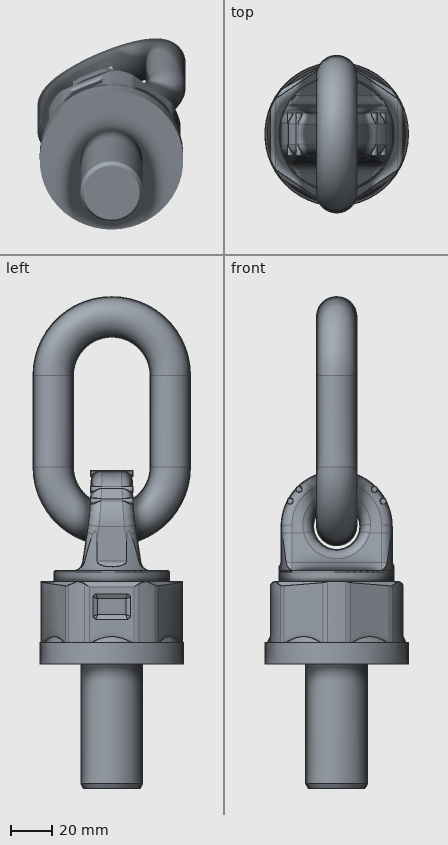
import cadquery as cq
import math


stud_radius = 15.0
stud_tip_inset = 1.5
stud_tip_height = 2.5
flange_bottom_z = 60.5
flange_radius = 35.0
hex_bottom_z = 71.1
hex_top_z = 100.9
hex_flat = 32.3
hex_half_angle = math.radians(30)
hex_round_radius = 34.5
hex_edge_fillet = 6.0
hex_top_round = 2.6
skirt_bottom_radius = 33.8
skirt_height = 2.9

pocket_width = 18.5
pocket_height = 12.5
pocket_corner = 1.5
pocket_center_z = 88.6
pocket_depth = 1.2
pocket_wall_run = 2.5

collar_radius = 28.0
collar_top_z = 106.1
collar_fillet = 0.7
eye_half_width = 27.0
eye_center_z = 127.7
eye_top_z = eye_center_z + eye_half_width
eye_foot_z = 110.5
eye_foot_half_thickness = 14.1
eye_waist_z = 124.5
eye_waist_half_thickness = 12.0
eye_upright_z = 151.0
eye_top_half_thickness = 10.0
eye_edge_fillet = 5.3
hole_radius = 11.3
hole_fillet = 5.3
foot_fillet_radius = 4.8
rib_radius = 1.5
rib_rise = 0.12
rib_half_length = 10.3
rib_angles = (28.5, 44.5, 90, 135.5, 151.5)

pick_margin = 0.2

link_top_z = 239.5
link_half_width = 38.3
link_wire_radius = 9.8
link_straight_length = 44.5
link_bend_radius = link_half_width - link_wire_radius
link_upper_z = link_top_z - link_half_width
link_lower_z = link_upper_z - link_straight_length


def cylinder(radius, bottom_z, top_z):
    return cq.Workplane("XY", origin=(0, 0, bottom_z)).circle(radius).extrude(top_z - bottom_z)


def hexagon_block():
    """Hexagon with two flats facing X, corners turned round and blended into the flats."""
    corner_diameter = 2 * hex_flat / math.cos(hex_half_angle)
    block = (
        cq.Workplane("XY", origin=(0, 0, hex_bottom_z))
        .transformed(rotate=(0, 0, math.degrees(hex_half_angle)))
        .polygon(6, corner_diameter)
        .extrude(hex_top_z - hex_bottom_z)
        .intersect(cylinder(hex_round_radius, hex_bottom_z, hex_top_z))
    )
    return block.edges("|Z").fillet(hex_edge_fillet)


def top_round_cutter():
    """Strip that rounds the top edge of the +X flat."""
    start_x = hex_flat - hex_top_round
    start_z = hex_top_z - hex_top_round
    diagonal = hex_top_round * math.sqrt(0.5)
    return (
        cq.Workplane("XZ")
        .moveTo(start_x, hex_top_z)
        .threePointArc((start_x + diagonal, start_z + diagonal), (hex_flat, start_z))
        .lineTo(flange_radius, start_z)
        .lineTo(flange_radius, hex_top_z)
        .close()
        .extrude(hex_flat, both=True)
    )


def sloped_chamfer_cutter():
    """Block above a plane that bevels a slanting flat, from full depth at its X end to none at Y."""
    corner_radius = hex_flat / math.cos(hex_half_angle)
    shallow_end = cq.Vector(0, corner_radius, hex_top_z)
    deep_end = cq.Vector(hex_flat, corner_radius / 2, hex_top_z - hex_top_round)
    inset = cq.Vector(math.sin(hex_half_angle), math.cos(hex_half_angle), 0) * hex_top_round
    inner_end = deep_end - inset + cq.Vector(0, 0, hex_top_round)
    along = deep_end - shallow_end
    normal = (inner_end - shallow_end).cross(along)
    bevel_plane = cq.Plane(shallow_end, along, normal)
    return cq.Workplane(bevel_plane).rect(4 * flange_radius, 2 * flange_radius).extrude(hex_top_round)


def pocket_cutter():
    """Rectangular recess with chamfered corners and sloping walls, open on the -X flat."""
    face = cq.Plane(origin=(-hex_flat, 0, pocket_center_z), xDir=(0, 1, 0), normal=(1, 0, 0))
    half_width = pocket_width / 2
    half_height = pocket_height / 2
    wall_angle = math.degrees(math.atan2(pocket_wall_run, pocket_depth))
    flat_half_width = half_width - pocket_corner
    flat_half_height = half_height - pocket_corner
    return (
        cq.Workplane(face)
        .polyline([
            (half_width, -flat_half_height),
            (half_width, flat_half_height),
            (flat_half_width, half_height),
            (-flat_half_width, half_height),
            (-half_width, flat_half_height),
            (-half_width, -flat_half_height),
            (-flat_half_width, -half_height),
            (flat_half_width, -half_height),
        ])
        .close()
        .extrude(pocket_depth, taper=wall_angle)
    )


def make_base():
    hexagon = hexagon_block()
    edge_round = top_round_cutter()
    hexagon = hexagon.cut(edge_round).cut(edge_round.mirror("YZ"))
    bevel = sloped_chamfer_cutter()
    for cutter in (bevel, bevel.mirror("YZ")):
        hexagon = hexagon.cut(cutter).cut(cutter.mirror("XZ"))

    turned = (
        cq.Workplane("XZ")
        .polyline([
            (0, 0),
            (stud_radius - stud_tip_inset, 0),
            (stud_radius, stud_tip_height),
            (stud_radius, flange_bottom_z),
            (flange_radius, flange_bottom_z),
            (flange_radius, hex_bottom_z),
            (skirt_bottom_radius, hex_bottom_z),
            (hex_flat, hex_bottom_z + skirt_height),
            (0, hex_bottom_z + skirt_height),
        ])
        .close()
        .revolve(360, (0, 0, 0), (0, 1, 0))
    )
    return turned.union(hexagon).cut(pocket_cutter())


def eye_plate():
    """Arched plate that thins toward the top, with rounded outer edges and a flared hole."""
    taper = (eye_foot_half_thickness - eye_waist_half_thickness) / (eye_waist_z - eye_foot_z)
    bottom_half_thickness = eye_waist_half_thickness + taper * (eye_waist_z - hex_top_z)
    half_side = (
        cq.Workplane("YZ")
        .moveTo(0, hex_top_z)
        .lineTo(bottom_half_thickness, hex_top_z)
        .lineTo(eye_waist_half_thickness, eye_waist_z)
        .tangentArcPoint((eye_top_half_thickness, eye_upright_z), relative=False)
        .lineTo(eye_top_half_thickness, eye_top_z)
        .lineTo(0, eye_top_z)
        .close()
        .extrude(eye_half_width, both=True)
    )
    arch = (
        cq.Workplane("XZ")
        .moveTo(-eye_half_width, hex_top_z)
        .lineTo(-eye_half_width, eye_center_z)
        .threePointArc((0, eye_top_z), (eye_half_width, eye_center_z))
        .lineTo(eye_half_width, hex_top_z)
        .close()
        .extrude(collar_radius, both=True)
    )
    plate = half_side.union(half_side.mirror("XZ")).intersect(arch)
    sharp_edges = [
        edge for edge in plate.edges().vals()
        if abs(edge.Center().y) > pick_margin and edge.BoundingBox().zlen > pick_margin
    ]
    plate = plate.newObject(sharp_edges).fillet(eye_edge_fillet)

    drill = cq.Workplane("XZ", origin=(0, 0, eye_center_z)).circle(hole_radius)
    plate = plate.cut(drill.extrude(collar_radius, both=True))
    reach = hole_radius + pick_margin
    rim = cq.selectors.BoxSelector(
        (-reach, -collar_radius, eye_center_z - reach),
        (reach, collar_radius, eye_center_z + reach),
        boundingbox=True,
    )
    rim_edges = [edge for edge in plate.edges(rim).vals() if edge.geomType() != "LINE"]
    return plate.newObject(rim_edges).fillet(hole_fillet)


def eye_ribs():
    """Round bars across the arch, just proud of its outer surface."""
    bars = cq.Workplane("XZ", origin=(0, 0, eye_center_z))
    distance = eye_half_width + rib_rise - rib_radius
    centers = [
        (distance * math.cos(math.radians(angle)), distance * math.sin(math.radians(angle)))
        for angle in rib_angles
    ]
    return bars.pushPoints(centers).circle(rib_radius).extrude(rib_half_length, both=True)


def add_foot_fillet(plate):
    """Run the foot of the plate out onto the top of the collar with a hollow fillet all round."""
    pad = cylinder(2 * collar_radius, hex_top_z, collar_top_z)
    zone_half_width = 1.5 * collar_radius
    footed = plate.union(pad)
    foot_zone = cq.selectors.BoxSelector(
        (-zone_half_width, -zone_half_width, collar_top_z - pick_margin),
        (zone_half_width, zone_half_width, collar_top_z + pick_margin),
        boundingbox=True,
    )
    return footed.edges(foot_zone).fillet(foot_fillet_radius).cut(pad)


def make_eye():
    collar = cylinder(collar_radius, hex_top_z, collar_top_z).faces(">Z").edges().fillet(collar_fillet)
    plate = add_foot_fillet(eye_plate()).union(eye_ribs())
    return collar.union(plate.intersect(cylinder(collar_radius, hex_top_z, eye_top_z + rib_rise)))


def make_link():
    """Round bar bent into an oval loop in the YZ plane."""
    path = (
        cq.Workplane("YZ")
        .moveTo(link_bend_radius, link_lower_z)
        .lineTo(link_bend_radius, link_upper_z)
        .threePointArc((0, link_upper_z + link_bend_radius), (-link_bend_radius, link_upper_z))
        .lineTo(-link_bend_radius, link_lower_z)
        .threePointArc((0, link_lower_z - link_bend_radius), (link_bend_radius, link_lower_z))
        .close()
    )
    start = cq.Workplane("XY", origin=(0, link_bend_radius, link_lower_z))
    return start.circle(link_wire_radius).sweep(path)


base = make_base()
eye = make_eye()
link = make_link()
result = cq.Compound.makeCompound([body.solids().val() for body in (base, eye, link)])